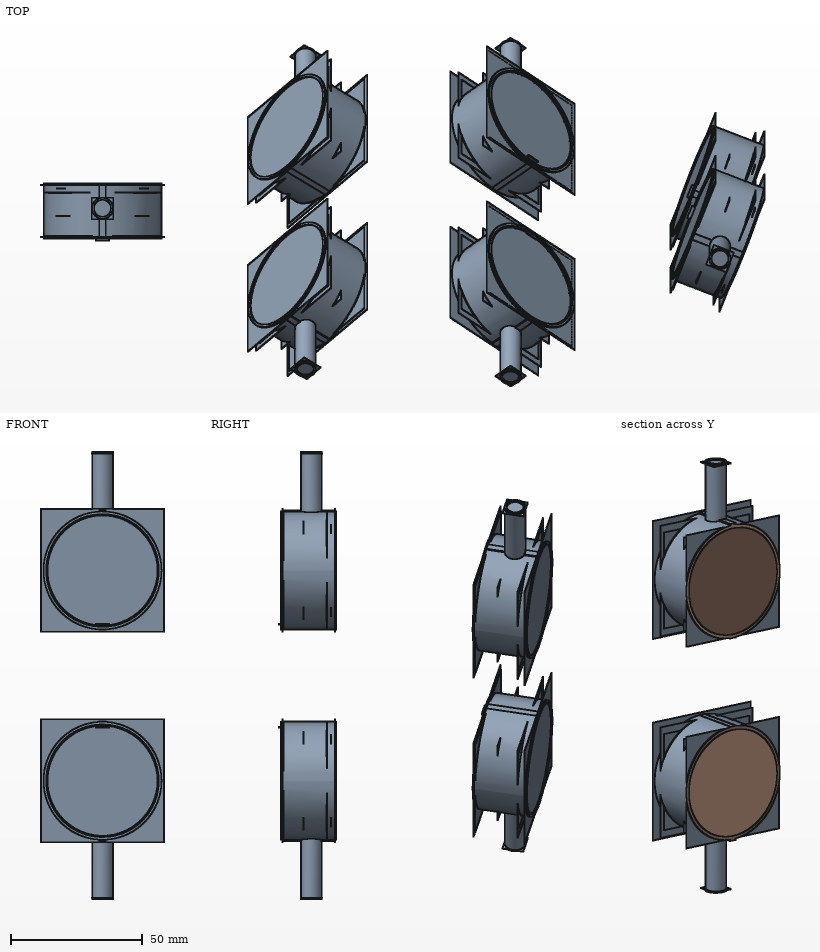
import cadquery as cq

overall_height = 170.0
drum_center_z = 40.0

drum_radius = 22.5
drum_length = 21.0
rim_inner_radius = 21.5
rim_depth = 0.5
front_y = -drum_length / 2
back_y = drum_length / 2

cover_radius = 20.9
cover_thickness = 0.5

sheet_thickness = 0.2
end_sheet_side = 46.8
front_sheet_y = front_y + rim_depth + sheet_thickness / 2
back_sheet_y = back_y - rim_depth - sheet_thickness / 2
inner_sheets = [
    (44.2, 44.2, -9.5),
    (35.0, 37.2, -1.9),
    (40.8, 38.0, 6.8),
    (43.9, 43.9, 7.0),
    (34.8, 34.8, 8.5),
]

strip_width = 2.5
pipe_side_strip_height = 0.5
far_side_strip_height = 0.08

tab_width = 5.1
tab_thickness = 0.3
tab_z = -20.4
tab_reach = 0.8

pipe_diameter = 8.0
pipe_radius = pipe_diameter / 2
pipe_y = 1.0
pipe_top = overall_height / 2 - drum_center_z
pipe_bottom = 18.7
pipe_rim_inner_radius = 3.2
pipe_sheet_side = 8.2


def disc_along_y(radius, y_min, y_max):
    """Cylinder about the drum axis between two Y positions."""
    return cq.Workplane("XZ", origin=(0, y_max, 0)).circle(radius).extrude(y_max - y_min)


def sheet_across_drum(width, height, y):
    """Thin rectangular sheet, square to the drum axis."""
    return cq.Workplane("XY").box(width, sheet_thickness, height).translate((0, y, 0))


def strip(height, side):
    """Raised strip along the drum; side is +1 on the pipe side, -1 opposite."""
    outer = drum_radius + height
    bar = cq.Workplane("XY").box(strip_width, drum_length - 2 * rim_depth, outer - rim_inner_radius)
    return bar.translate((0, 0, side * (outer + rim_inner_radius) / 2))


def pipe_rod():
    """Plain rod filling the whole length of the pipe."""
    rod = cq.Workplane("XY", origin=(0, pipe_y, pipe_bottom))
    return rod.circle(pipe_radius).extrude(pipe_top - pipe_bottom)


def make_housing():
    """Drum with its sheets and strips, end recesses, cover pocket and pipe hole."""
    body = disc_along_y(drum_radius, front_y, back_y)
    for end_y in (front_sheet_y, back_sheet_y):
        body = body.union(sheet_across_drum(end_sheet_side, end_sheet_side, end_y))
    for width, height, y in inner_sheets:
        body = body.union(sheet_across_drum(width, height, y))
    body = body.union(strip(pipe_side_strip_height, 1))
    body = body.union(strip(far_side_strip_height, -1))
    body = body.cut(disc_along_y(rim_inner_radius, front_y, front_y + rim_depth))
    body = body.cut(disc_along_y(rim_inner_radius, back_y - rim_depth, back_y))
    pocket_floor = front_y + rim_depth + cover_thickness
    body = body.cut(disc_along_y(cover_radius, front_y, pocket_floor))
    return body.cut(pipe_rod())


def cover_tab():
    """Flat tab standing on the cover and reaching past the front of the drum."""
    length = tab_reach + rim_depth
    tab = cq.Workplane("XY").box(tab_width, length, tab_thickness)
    return tab.translate((0, front_y - tab_reach + length / 2, tab_z))


def make_cover():
    """Disc that fills the cover pocket, with its tab."""
    face_y = front_y + rim_depth
    return disc_along_y(cover_radius, face_y, face_y + cover_thickness).union(cover_tab())


def make_pipe():
    """Pipe with a square sheet just below its shallow recessed end."""
    sheet_z = pipe_top - rim_depth - sheet_thickness / 2
    sheet = cq.Workplane("XY").box(pipe_sheet_side, pipe_sheet_side, sheet_thickness)
    recess = cq.Workplane("XY", origin=(0, pipe_y, pipe_top - rim_depth))
    recess = recess.circle(pipe_rim_inner_radius).extrude(rim_depth)
    return pipe_rod().union(sheet.translate((0, pipe_y, sheet_z))).cut(recess)


bodies = []
for make_body in (make_housing, make_cover, make_pipe):
    upper = make_body().translate((0, 0, drum_center_z))
    lower = upper.mirror("XY")
    bodies += [upper.val(), lower.val()]

result = cq.Compound.makeCompound(bodies)